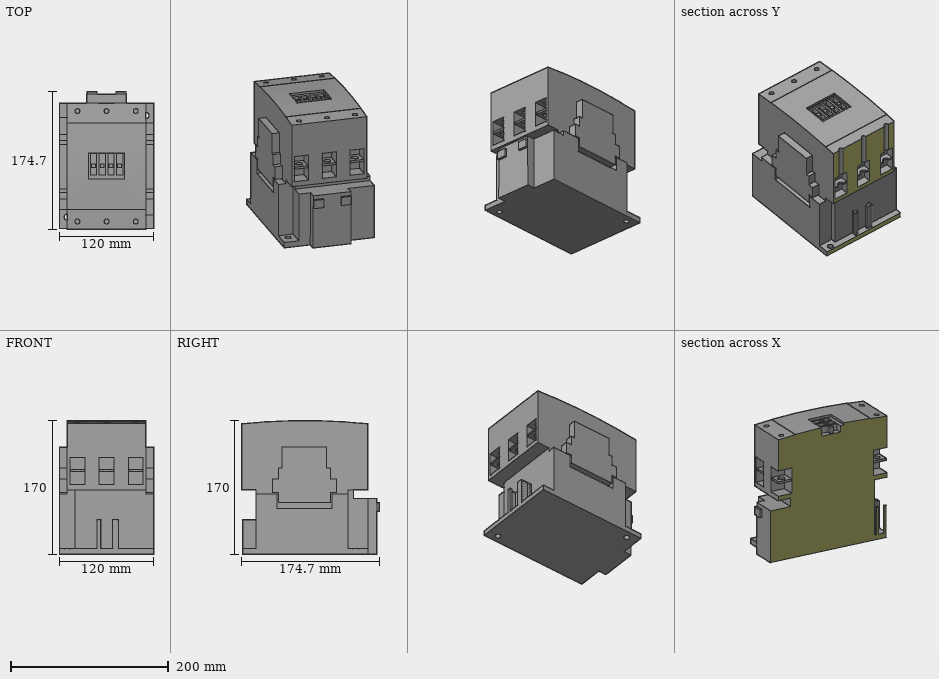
import cadquery as cq


HOUSING_WIDTH = 100.0
HOUSING_DEPTH = 160.0
HOUSING_BOTTOM = 82.1
HOUSING_EDGE_HEIGHT = 166
TOP_HEIGHT = 170.0
COVER_EDGE_HEIGHT = 168.2
COVER_STEP = 0.3
CENTRE_HALF_DEPTH = 55.0

BASE_WIDTH = 120.0
BASE_FRONT = -79.0
BASE_REAR = HOUSING_DEPTH / 2
FLANGE_HEIGHT = 7.3
REAR_LEDGE_HEIGHT = 71.1
SHOULDER_HEIGHT = 77.0
NECK_HALF_DEPTH = 62.0
NOTCH_EDGE_X = 40.4
MOUNT_HOLE_X = 50.0
MOUNT_HOLE_Y = 64.5
MOUNT_HOLE_DIAMETER = 7.5

TERMINAL_PITCH = 37.0
TERMINAL_WIDTH = 18.7
TERMINAL_DEPTH = 20.0
TERMINAL_BOTTOM = 88.7
TERMINAL_TOP = 122.8
BAR_WIDTH = 17.5
BAR_BOTTOM = 105.3
BAR_TOP = 108.1
BAR_SETBACK = 0.5
BAR_HOLE_DIAMETER = 9.0
SCREW_HOLE_DIAMETER = 6.1
SCREW_HOLE_Y = 70.0

PLUG_CENTRE_Y = -0.5
PLUG_STEPS = [(66.0, 65.9, 109.5), (81.4, 78.5, 95.5), (56.3, 109.5, 136.1)]
POCKET_DEPTH = 69.5
POCKET_FLOOR = 58.5

WINDOW_WIDTH = 45.5
WINDOW_FRONT = -16.5
WINDOW_REAR = 17.0
WINDOW_RECESS = 3.1
SLOT_COUNT = 4
SLOT_PITCH = 11.0
SLOT_WIDTH = 8.0
SLOT_FRONT = -11.2
SLOT_REAR = 16.0
SLOT_DEPTH = 8.7
PEG_SIZE = 4.7
PEG_Y = 0.5

RIB_TOP = 44.4
RIB_WALL = 1.4
LEFT_RIB_OUTER_X = -12.0
LEFT_RIB_FRONT_X = -7.7
LEFT_RIB_REAR_X = -7
RIGHT_RIB_INNER_X = 7.7
RIGHT_RIB_OUTER_X = 15.2
RIB_LIP = 3.5
RIB_REAR_GAP = 2.1

COIL_FOOT_WIDTH = 51.0
COIL_TOP_WIDTH = 49.8
COIL_REAR = 91.5
PIN_REAR = 94.7
PIN_WIDTH = 13.0
PIN_OFFSET = 18.3
PIN_BOTTOM = 54.9
PIN_TOP = 65.9

OVERLAP = 1.7


def box(x_range, y_range, z_range):
    (x0, x1), (y0, y1), (z0, z1) = x_range, y_range, z_range
    return cq.Workplane("XY").box(x1 - x0, y1 - y0, z1 - z0, centered=False).translate((x0, y0, z0))


def centred(width, middle=0):
    return (middle - width / 2, middle + width / 2)


def vertical_hole(x, y, diameter, z_range):
    bottom, top = z_range
    return cq.Workplane("XY", origin=(x, y, bottom)).circle(diameter / 2).extrude(top - bottom)


def make_base():
    side = BASE_WIDTH / 2
    full_width = centred(BASE_WIDTH)
    base = box(full_width, (BASE_FRONT, BASE_REAR), (0, FLANGE_HEIGHT))
    base = base.union(box(full_width, (-NECK_HALF_DEPTH, BASE_REAR), (0, REAR_LEDGE_HEIGHT)))
    neck_y = centred(2 * NECK_HALF_DEPTH)
    base = base.union(box(full_width, neck_y, (0, SHOULDER_HEIGHT)))
    base = base.union(box(centred(HOUSING_WIDTH), neck_y, (0, HOUSING_BOTTOM)))
    corner_z = (FLANGE_HEIGHT, HOUSING_BOTTOM)
    base = base.cut(box((-side, -NOTCH_EDGE_X), (BASE_FRONT, -CENTRE_HALF_DEPTH), corner_z))
    base = base.cut(box((NOTCH_EDGE_X, side), (CENTRE_HALF_DEPTH, BASE_REAR), corner_z))
    for end in (-1, 1):
        hole = vertical_hole(end * MOUNT_HOLE_X, end * MOUNT_HOLE_Y, MOUNT_HOLE_DIAMETER, (0, FLANGE_HEIGHT))
        base = base.cut(hole)
    return base


def make_housing():
    """Block with sloping flat ends and a curved centre cover that stands slightly proud of them."""
    half_depth = HOUSING_DEPTH / 2
    end_top = COVER_EDGE_HEIGHT - COVER_STEP
    return (
        cq.Workplane("YZ", origin=(-HOUSING_WIDTH / 2, 0, 0))
        .moveTo(-half_depth, HOUSING_BOTTOM)
        .lineTo(half_depth, HOUSING_BOTTOM)
        .lineTo(half_depth, HOUSING_EDGE_HEIGHT)
        .lineTo(CENTRE_HALF_DEPTH, end_top)
        .lineTo(CENTRE_HALF_DEPTH, COVER_EDGE_HEIGHT)
        .threePointArc((0, TOP_HEIGHT), (-CENTRE_HALF_DEPTH, COVER_EDGE_HEIGHT))
        .lineTo(-CENTRE_HALF_DEPTH, end_top)
        .lineTo(-half_depth, HOUSING_EDGE_HEIGHT)
        .close()
        .extrude(HOUSING_WIDTH)
    )


def make_terminal(x):
    """Cavity of one front terminal, with its connection bar left standing and its screw hole above."""
    front = -HOUSING_DEPTH / 2
    back = front + TERMINAL_DEPTH
    cavity = box(centred(TERMINAL_WIDTH, x), (front, back), (TERMINAL_BOTTOM, TERMINAL_TOP))
    bar = box(centred(BAR_WIDTH, x), (front + BAR_SETBACK, back), (BAR_BOTTOM, BAR_TOP))
    bar = bar.cut(vertical_hole(x, -SCREW_HOLE_Y, BAR_HOLE_DIAMETER, (BAR_BOTTOM, BAR_TOP)))
    screw_hole = vertical_hole(x, -SCREW_HOLE_Y, SCREW_HOLE_DIAMETER, (TERMINAL_TOP - OVERLAP, TOP_HEIGHT))
    return cavity.cut(bar).union(screw_hole)


def cut_terminals(body):
    for index in (-1, 0, 1):
        terminal = make_terminal(index * TERMINAL_PITCH)
        body = body.cut(terminal).cut(terminal.mirror("XZ"))
    return body


def fit_side_plugs(body):
    inner = HOUSING_WIDTH / 2
    outer = BASE_WIDTH / 2
    pocket_y = centred(POCKET_DEPTH, PLUG_CENTRE_Y)
    pocket = box((inner, outer), pocket_y, (POCKET_FLOOR, SHOULDER_HEIGHT))
    body = body.cut(pocket).cut(pocket.mirror("YZ"))
    for depth, bottom, top in PLUG_STEPS:
        step = box((inner - OVERLAP, outer), centred(depth, PLUG_CENTRE_Y), (bottom, top))
        body = body.union(step).union(step.mirror("YZ"))
    return body


def cut_label_window(body):
    floor = TOP_HEIGHT - WINDOW_RECESS
    body = body.cut(box(centred(WINDOW_WIDTH), (WINDOW_FRONT, WINDOW_REAR), (floor, TOP_HEIGHT)))
    for index in range(SLOT_COUNT):
        x = (index - (SLOT_COUNT - 1) / 2) * SLOT_PITCH
        slot_z = (floor - SLOT_DEPTH, floor)
        slot = box(centred(SLOT_WIDTH, x), (SLOT_FRONT, SLOT_REAR), slot_z)
        peg = box(centred(PEG_SIZE, x), centred(PEG_SIZE, PEG_Y), slot_z)
        body = body.cut(slot.cut(peg))
    return body


def make_ribs():
    """Two channels standing on the flange, open towards each other."""
    z_range = (FLANGE_HEIGHT - OVERLAP, RIB_TOP)
    wall_y = (BASE_FRONT, -NECK_HALF_DEPTH + OVERLAP)
    front_lip_y = (BASE_FRONT, BASE_FRONT + RIB_LIP)
    rear_lip_end = -NECK_HALF_DEPTH - RIB_REAR_GAP
    rear_lip_y = (rear_lip_end - RIB_LIP, rear_lip_end)
    left = box((LEFT_RIB_OUTER_X, LEFT_RIB_OUTER_X + RIB_WALL), wall_y, z_range)
    left = left.union(box((LEFT_RIB_OUTER_X, LEFT_RIB_FRONT_X), front_lip_y, z_range))
    left = left.union(box((LEFT_RIB_OUTER_X, LEFT_RIB_REAR_X), rear_lip_y, z_range))
    right = box((RIGHT_RIB_OUTER_X - RIB_WALL, RIGHT_RIB_OUTER_X), wall_y, z_range)
    for lip_y in (front_lip_y, rear_lip_y):
        right = right.union(box((RIGHT_RIB_INNER_X, RIGHT_RIB_OUTER_X), lip_y, z_range))
    return left.union(right)


def make_coil_block():
    foot = COIL_FOOT_WIDTH / 2
    top = COIL_TOP_WIDTH / 2
    outline = [(-foot, 0), (foot, 0), (top, REAR_LEDGE_HEIGHT), (-top, REAR_LEDGE_HEIGHT)]
    block = cq.Workplane("XZ", origin=(0, COIL_REAR, 0)).polyline(outline).close()
    block = block.extrude(COIL_REAR - BASE_REAR + OVERLAP)
    for side in (-1, 1):
        pin_x = centred(PIN_WIDTH, side * PIN_OFFSET)
        block = block.union(box(pin_x, (COIL_REAR - OVERLAP, PIN_REAR), (PIN_BOTTOM, PIN_TOP)))
    return block


body = make_base().union(make_housing())
body = cut_terminals(body)
body = fit_side_plugs(body)
body = cut_label_window(body)
result = body.union(make_ribs()).union(make_coil_block())